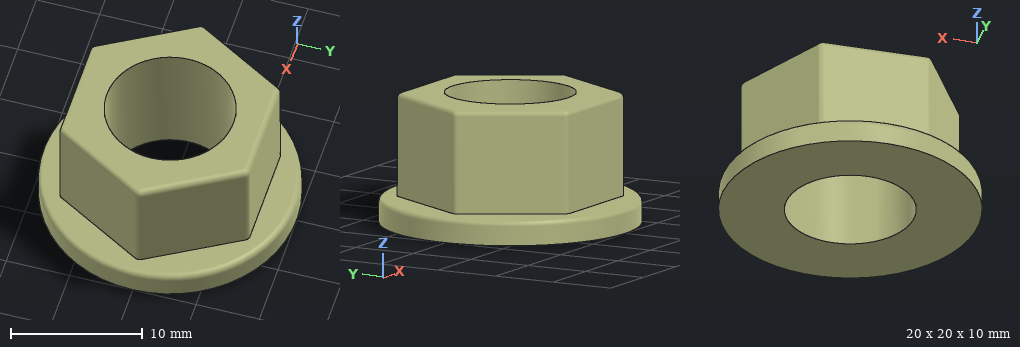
import cadquery as cq
import math

flange_diameter = 20.0
flange_thickness = 2.0
total_height = 10.0
hex_across_flats = 15.0
bore_diameter = 10.0
edge_radius = 0.5

hex_across_corners = hex_across_flats / math.cos(math.radians(30))


def make_flange():
    """Round base with its upper rim rounded."""
    disc = cq.Workplane("XY").circle(flange_diameter / 2).extrude(flange_thickness)
    return disc.faces(">Z").edges().fillet(edge_radius)


def make_hex_body():
    """Hexagon with two corners on the X axis; upright and top edges are rounded."""
    prism = cq.Workplane("XY").polygon(6, hex_across_corners).extrude(total_height)
    return prism.edges("|Z or >Z").fillet(edge_radius)


def make_bore():
    """Plain through hole along the axis."""
    return cq.Workplane("XY").circle(bore_diameter / 2).extrude(total_height)


result = make_flange().union(make_hex_body()).cut(make_bore())